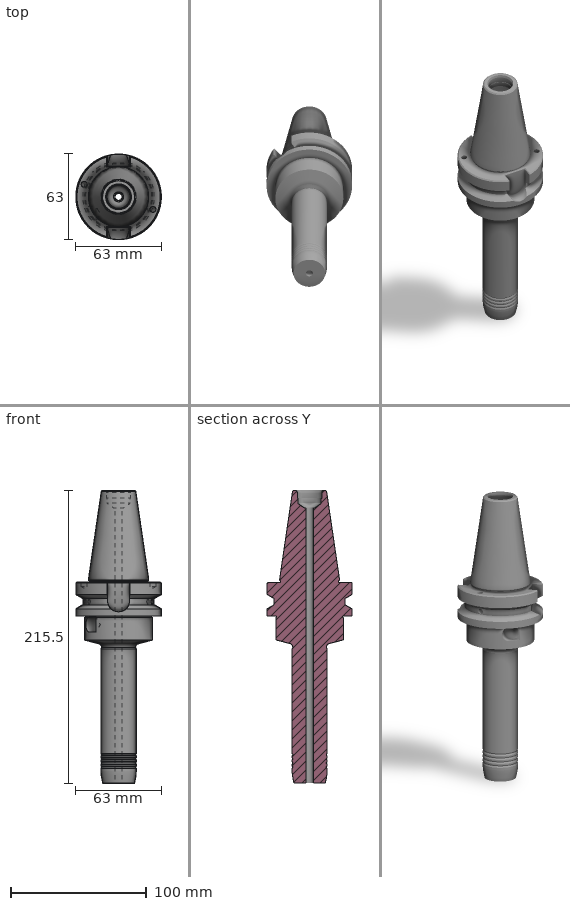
import cadquery as cq
import math

total_length = 215.5
flange_top = 148.0
flange_bottom = 123.0
body_bottom = 105.3

taper_length = 65.5
taper_large_radius = 22.2
taper_small_radius = 12.7
taper_top_chamfer = 0.9
taper_neck_radius = 21.5
taper_rim_height = 0.5
taper_rim_chamfer = 0.6

flange_radius = 31.5
flange_chamfer = 0.9
groove_radius = 26.3
groove_centre = 133.5
groove_floor_width = 4.5
groove_flank_angle = 30.0

body_radius = 25.0
body_relief_radius = 24.3
body_relief_height = 1.0
body_cone_height = 2.8
body_cone_end_radius = 14.2
neck_radius = 12.5
neck_bottom = 100.0
neck_fillet_radius = 2.8

shaft_diameter = 26.0
shaft_radius = shaft_diameter / 2
shaft_top = 98.7
nose_top = 9.0
nose_end_radius = 11.6
nose_bulge = 0.32

ring_count = 4
ring_top = 22.0
ring_pitch = 3.0
ring_width = 2.0
ring_depth = 0.6

mouth_radius = 9.5
mouth_depth = 1.7
bore_radius = 8.8
bore_depth = 5.8
thread_radius = 8.5
thread_depth = 9.5
floor_ring_radius = 7.1
floor_ring_depth = 10.5
floor_radius = 3.7
floor_depth = 13.0
through_radius = 2.5

slot_width = 16.2
slot_floor_offset = 22.6
slot_end_centre = 134.2
slot_root_fillet = 0.6
slot_rim_chamfer = 0.6
chamfer_angle = 45.0

top_hole_radius = 2.2
groove_hole_radius = 2.0
balance_hole_depth = 3.2
balance_circle_radius = 27.0
balance_angles = (160.0, 340.0)

drill_point_angle = 118.0

screw_radius = 5.4
screw_y = -12.5
screw_z = 116.7
screw_floor_x = -16.5


def revolve_about_z(profile):
    return profile.close().revolve(360, (0, 0, 0), (0, 1, 0))


def make_drill(radius, depth):
    """Blind drill with its mouth at the origin, pointing along -Z."""
    point_depth = radius / math.tan(math.radians(drill_point_angle / 2))
    profile = (
        cq.Workplane("XZ")
        .lineTo(radius, 0)
        .lineTo(radius, -depth)
        .lineTo(0, -depth - point_depth)
    )
    return revolve_about_z(profile)


def make_nose_and_body():
    profile = (
        cq.Workplane("XZ")
        .lineTo(nose_end_radius, 0)
        .threePointArc(
            ((nose_end_radius + shaft_radius) / 2 + nose_bulge, nose_top / 2),
            (shaft_radius, nose_top),
        )
        .lineTo(shaft_radius, shaft_top)
        .lineTo(neck_radius, neck_bottom)
        .radiusArc((body_cone_end_radius, body_bottom - body_cone_height), neck_fillet_radius)
        .lineTo(body_radius, body_bottom)
        .lineTo(body_radius, flange_bottom - body_relief_height)
        .lineTo(body_relief_radius, flange_bottom - body_relief_height)
        .lineTo(body_relief_radius, flange_bottom)
        .lineTo(0, flange_bottom)
    )
    return revolve_about_z(profile)


def make_taper():
    rim_bottom = total_length - taper_length - taper_rim_height
    profile = (
        cq.Workplane("XZ")
        .moveTo(0, flange_top)
        .lineTo(taper_neck_radius, flange_top)
        .lineTo(taper_neck_radius, rim_bottom - taper_rim_chamfer)
        .lineTo(taper_large_radius, rim_bottom)
        .lineTo(taper_large_radius, total_length - taper_length)
        .lineTo(taper_small_radius, total_length - taper_top_chamfer)
        .lineTo(taper_small_radius - taper_top_chamfer, total_length)
        .lineTo(0, total_length)
    )
    return revolve_about_z(profile)


def make_flange():
    flank_height = (flange_radius - groove_radius) * math.tan(math.radians(groove_flank_angle))
    groove_top = groove_centre + groove_floor_width / 2
    groove_bottom = groove_centre - groove_floor_width / 2
    profile = (
        cq.Workplane("XZ")
        .moveTo(0, flange_bottom)
        .lineTo(flange_radius, flange_bottom)
        .lineTo(flange_radius, groove_bottom - flank_height)
        .lineTo(groove_radius, groove_bottom)
        .lineTo(groove_radius, groove_top)
        .lineTo(flange_radius, groove_top + flank_height)
        .lineTo(flange_radius, flange_top - flange_chamfer)
        .lineTo(flange_radius - flange_chamfer, flange_top)
        .lineTo(0, flange_top)
    )
    return revolve_about_z(profile)


def make_bore():
    profile = (
        cq.Workplane("XZ")
        .moveTo(0, 0)
        .lineTo(through_radius, 0)
        .lineTo(through_radius, total_length - floor_depth)
        .lineTo(floor_radius, total_length - floor_depth)
        .lineTo(floor_ring_radius, total_length - floor_ring_depth)
        .lineTo(thread_radius, total_length - thread_depth)
        .lineTo(thread_radius, total_length - bore_depth)
        .lineTo(bore_radius, total_length - bore_depth)
        .lineTo(bore_radius, total_length - mouth_depth)
        .lineTo(mouth_radius, total_length)
        .lineTo(0, total_length)
    )
    return revolve_about_z(profile)


def make_grip_ring(top):
    profile = (
        cq.Workplane("XZ")
        .moveTo(shaft_radius, top)
        .lineTo(shaft_radius - ring_depth, top - ring_width / 2)
        .lineTo(shaft_radius, top - ring_width)
    )
    return revolve_about_z(profile)


def make_slot_prism(side):
    """Round-ended slot, open upwards and outwards, standing on a flat floor."""
    reach = side * flange_radius
    height = flange_top + flange_radius - slot_end_centre
    start = cq.Workplane("XZ", origin=(0, -side * slot_floor_offset, slot_end_centre))
    round_end = start.circle(slot_width / 2).extrude(reach)
    straight = start.center(0, height / 2).rect(slot_width, height).extrude(reach)
    return round_end.union(straight)


def make_drive_slot(side):
    floor_face = ">Y" if side > 0 else "<Y"
    slot = make_slot_prism(side)
    return slot.faces(floor_face).edges().fillet(slot_root_fillet)


def make_slot_top_chamfer(side):
    """Wedge that breaks the slot's edges on the flange top."""
    centre_offset = slot_floor_offset + flange_radius / 2
    wide = slot_width + 2 * slot_rim_chamfer
    length = flange_radius + 2 * slot_rim_chamfer
    wedge = cq.Workplane("XY", origin=(0, -side * centre_offset, flange_top)).rect(wide, length)
    return wedge.extrude(-slot_rim_chamfer, taper=chamfer_angle)


def make_slot_side_chamfers(side):
    """Wedge that breaks the slot's edges on the upper flange rim."""
    half_width = slot_width / 2
    rim_y = math.sqrt(flange_radius**2 - half_width**2)
    inner_y = rim_y - slot_rim_chamfer
    outer_y = rim_y + slot_rim_chamfer
    outer_half_width = half_width + 2 * slot_rim_chamfer
    wedge = cq.Workplane("XY", origin=(0, 0, groove_centre)).polyline(
        [
            (-half_width, -side * inner_y),
            (half_width, -side * inner_y),
            (outer_half_width, -side * outer_y),
            (-outer_half_width, -side * outer_y),
        ]
    )
    return wedge.close().extrude(flange_top - groove_centre)


def make_balance_holes(angle):
    """One hole down into the flange top, one inwards from the groove floor."""
    top_hole = make_drill(top_hole_radius, balance_hole_depth)
    top_hole = top_hole.translate((balance_circle_radius, 0, flange_top))
    groove_hole = make_drill(groove_hole_radius, balance_hole_depth)
    groove_hole = groove_hole.rotate((0, 0, 0), (0, 1, 0), 90)
    groove_hole = groove_hole.translate((groove_radius, 0, groove_centre))
    return top_hole.union(groove_hole).rotate((0, 0, 0), (0, 0, 1), angle)


def make_screw_pocket():
    """Blind cross hole from -X, opened sideways towards -Y."""
    length = body_radius + screw_floor_x
    drill = make_drill(screw_radius, length).rotate((0, 0, 0), (0, 1, 0), -90)
    opening_width = body_radius + screw_y
    opening = cq.Workplane("XY").box(
        length, opening_width, 2 * screw_radius, centered=(False, False, True)
    )
    return drill.union(opening.translate((0, -opening_width, 0))).translate(
        (-body_radius, screw_y, screw_z)
    )


flange = make_flange()
for side in (1, -1):
    flange = flange.cut(make_drive_slot(side))
    flange = flange.cut(make_slot_top_chamfer(side))
    flange = flange.cut(make_slot_side_chamfers(side))
for angle in balance_angles:
    flange = flange.cut(make_balance_holes(angle))

nose_and_body = make_nose_and_body().cut(make_screw_pocket())
for index in range(ring_count):
    nose_and_body = nose_and_body.cut(make_grip_ring(ring_top - index * ring_pitch))

result = nose_and_body.union(flange).union(make_taper()).cut(make_bore())